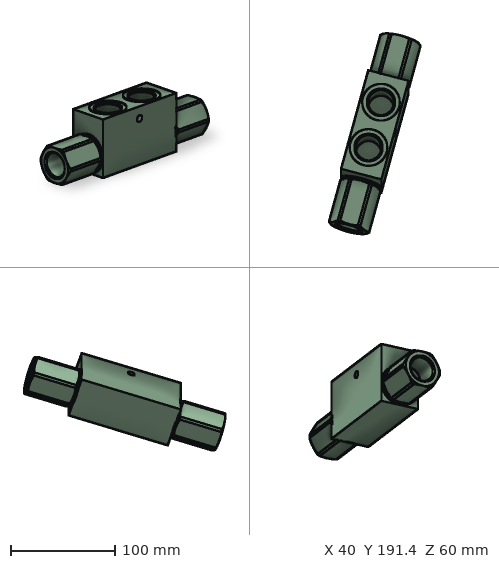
import cadquery as cq
import math

total_length = 191.4
block_width = 40.0
block_length = 100.1
block_height = 60.0
block_end = block_length / 2

axis_height = block_width / 2
hex_across_flats = 36.0
flat_on_top_angle = 30.0
hex_corner_diameter = block_width
chamfer_diameter = 36.0
chamfer_angle = 30.0
neck_diameter = 35.5
neck_length = 1.3
end_recess_diameter = 39.0
end_recess_depth = 0.5

fitting_bore_diameter = 24.1
top_bore_diameter = 24.5
mouth_diameter = 27.2
bore_depth = 26.8
port_pitch = 46.0
spotface_diameter = 36.0
spotface_depth = 0.5

mounting_hole_diameter = 6.7
mounting_hole_height = block_height - 12.5


def port_cutter(plane, bore_diameter):
    """Blind bore with a 45 degree countersink, running along the plane's negative normal."""
    bore_radius = bore_diameter / 2
    mouth_radius = mouth_diameter / 2
    countersink_depth = mouth_radius - bore_radius
    profile = [
        (0, 0),
        (mouth_radius, 0),
        (bore_radius, -countersink_depth),
        (bore_radius, -bore_depth),
        (0, -bore_depth),
    ]
    cutter = cq.Workplane("XY").polyline(profile).close().revolve(360, (0, 0), (0, 1))
    cutter = cutter.rotate((0, 0, 0), (1, 0, 0), 90)
    return cq.Workplane(cutter.val().moved(cq.Location(plane)))


def end_fitting():
    """Fitting on the -Y end: chamfered hexagon on a round neck seated in the block."""
    corner_radius = hex_corner_diameter / 2
    chamfer_radius = chamfer_diameter / 2
    neck_radius = neck_diameter / 2
    slope = math.tan(math.radians(chamfer_angle))
    outer_chamfer_length = (corner_radius - chamfer_radius) * slope
    inner_chamfer_length = (corner_radius - neck_radius) * slope
    outer_end = -total_length / 2
    hex_inner_end = -block_end - neck_length
    neck_seat = -block_end + end_recess_depth

    profile = [
        (0, outer_end),
        (chamfer_radius, outer_end),
        (corner_radius, outer_end + outer_chamfer_length),
        (corner_radius, hex_inner_end - inner_chamfer_length),
        (neck_radius, hex_inner_end),
        (neck_radius, neck_seat),
        (0, neck_seat),
    ]
    turned = cq.Workplane("XY").polyline(profile).close().revolve(360, (0, 0), (0, 1))
    hexagon = (
        cq.Workplane("XZ", origin=(0, neck_seat, 0))
        .polygon(6, hex_across_flats, circumscribed=True)
        .extrude(neck_seat - outer_end)
        .rotate((0, 0, 0), (0, 1, 0), flat_on_top_angle)
    )
    fitting = turned.intersect(hexagon).translate((0, 0, axis_height))
    mouth_plane = cq.Plane(origin=(0, outer_end, axis_height), xDir=(1, 0, 0), normal=(0, -1, 0))
    return fitting.cut(port_cutter(mouth_plane, fitting_bore_diameter))


def end_recess():
    """Shallow round recess in the -Y end face around the fitting neck."""
    return (
        cq.Workplane("XZ", origin=(0, -block_end, axis_height))
        .circle(end_recess_diameter / 2)
        .extrude(-end_recess_depth)
    )


def top_port(y):
    """Spotface and countersunk bore cut into the top face."""
    seat_height = block_height - spotface_depth
    spotface = (
        cq.Workplane("XY", origin=(0, y, seat_height))
        .circle(spotface_diameter / 2)
        .extrude(spotface_depth)
    )
    mouth_plane = cq.Plane(origin=(0, y, seat_height), xDir=(1, 0, 0), normal=(0, 0, 1))
    return spotface.union(port_cutter(mouth_plane, top_bore_diameter))


def mounting_hole():
    """Cross hole through the full block width."""
    return (
        cq.Workplane("YZ", origin=(0, 0, mounting_hole_height))
        .circle(mounting_hole_diameter / 2)
        .extrude(block_width / 2, both=True)
    )


result = cq.Workplane("XY").box(block_width, block_length, block_height, centered=(True, True, False))
result = result.cut(mounting_hole())
for port_y in (-port_pitch / 2, port_pitch / 2):
    result = result.cut(top_port(port_y))

recess = end_recess()
fitting = end_fitting()
result = result.cut(recess).cut(recess.mirror("XZ"))
result = result.union(fitting).union(fitting.mirror("XZ"))